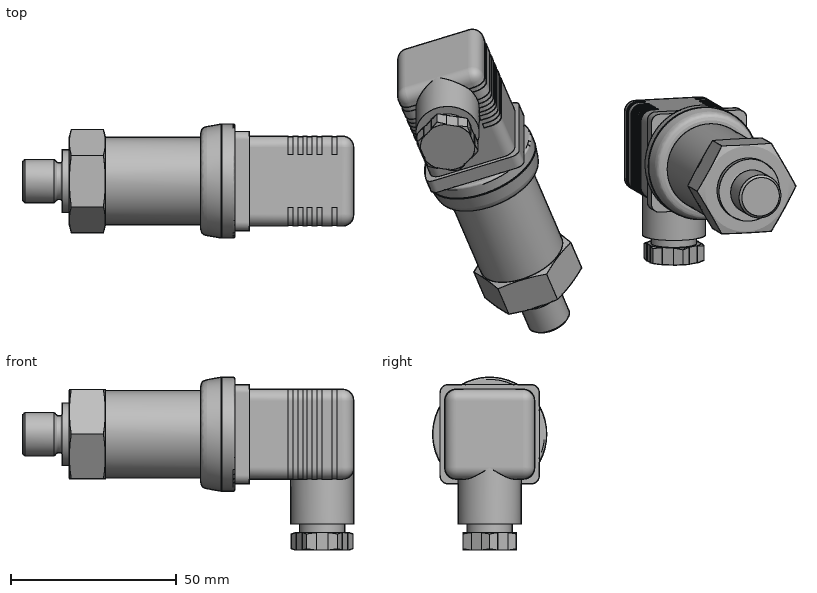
import cadquery as cq
import math


THREAD_D = 13.16
THREAD_END_X = 9.5
THREAD_CHAMFER = 0.68
RUNOUT_ANGLE = 45.0
RELIEF_D = 11.2
RELIEF_FILLET = 0.6

COLLAR_D = 19.0
COLLAR_START_X = 11.9

HEX_START_X = 14.0
HEX_END_X = 25.0
HEX_FLATS = 27.0
HEX_FACE_D = 26.3
HEX_CHAMFER_ANGLE = 15.0

BODY_D = 26.5

CAP_D = 34.5
CAP_START_X = 53.6
CAP_FRONT_FACE_D = 28.4
CAP_FRONT_CONE_D = 30.3
CAP_FRONT_CONE_LENGTH = 0.25
CAP_SHOULDER_X = 55.7
CAP_SHOULDER_D = 33.0
CAP_TAPER_END_X = 59.9
CAP_SEAM_WIDTH = 0.3
CAP_SEAM_DEPTH = 0.1
CAP_END_X = 64.1
CAP_RIM_FILLET = 0.7

FLANGE_SIDE = 30.0
FLANGE_END_X = 68.4
FLANGE_CORNER_R = 2.5

HOUSING_SIDE = 27.2
HOUSING_END_X = 99.9
HOUSING_FILLET = 3.45

GROOVE_STARTS_X = (80.1, 83.05, 85.8, 88.8, 93.35)
GROOVE_WIDTH = 1.5
GROOVE_DEPTH = 0.15
GROOVE_END_Y = 8.0

GLAND_D = 19.1
GLAND_X = HOUSING_END_X - GLAND_D / 2
GLAND_TOP_Z = -(HOUSING_SIDE / 2 - HOUSING_FILLET)
GLAND_BOTTOM_Z = -27.1
NECK_D = 13.76

NUT_TOP_Z = -29.7
NUT_BOTTOM_Z = -34.95
NUT_FLATS = 16.15
NUT_FACE_D = 16.4
NUT_CHAMFER_ANGLE = 20.0
NUT_RECESS_WIDTH = 3.5
NUT_RECESS_DEPTH = 0.2

SIDES_OF_HEX = 6


def corner_distance(flats):
    """Distance across the corners of a hexagon with the given distance across flats."""
    return flats / math.cos(math.pi / SIDES_OF_HEX)


def x_cylinder(diameter, start_x, end_x):
    return cq.Workplane("YZ").workplane(offset=start_x).circle(diameter / 2).extrude(end_x - start_x)


def arc_on_circle(center, radius, angle):
    """Point on a circle, with the angle in degrees."""
    a = math.radians(angle)
    return center[0] + radius * math.cos(a), center[1] + radius * math.sin(a)


def make_stud():
    thread_r = THREAD_D / 2
    relief_r = RELIEF_D / 2
    fillet_center_r = relief_r + RELIEF_FILLET
    runout = math.radians(RUNOUT_ANGLE)
    runout_end_r = fillet_center_r - RELIEF_FILLET * math.cos(runout)
    runout_end_x = THREAD_END_X + (thread_r - runout_end_r) / math.tan(runout)
    front_center = (runout_end_x + RELIEF_FILLET * math.sin(runout), fillet_center_r)
    rear_center = (COLLAR_START_X - RELIEF_FILLET, fillet_center_r)
    profile = (
        cq.Workplane("XY")
        .lineTo(0, thread_r - THREAD_CHAMFER)
        .lineTo(THREAD_CHAMFER, thread_r)
        .lineTo(THREAD_END_X, thread_r)
        .lineTo(runout_end_x, runout_end_r)
        .threePointArc(
            arc_on_circle(front_center, RELIEF_FILLET, -90 - RUNOUT_ANGLE / 2),
            (front_center[0], relief_r),
        )
        .lineTo(rear_center[0], relief_r)
        .threePointArc(arc_on_circle(rear_center, RELIEF_FILLET, -45), (COLLAR_START_X, fillet_center_r))
        .lineTo(COLLAR_START_X, 0)
        .close()
    )
    return profile.revolve(360, (0, 0, 0), (1, 0, 0))


def make_wrench_hex():
    """Hexagon with corners on +-Y, both ends turned to a shallow cone."""
    length = HEX_END_X - HEX_START_X
    corner_r = corner_distance(HEX_FLATS) / 2
    face_r = HEX_FACE_D / 2
    cone_length = (corner_r - face_r) * math.tan(math.radians(HEX_CHAMFER_ANGLE))
    prism = (
        cq.Workplane("YZ")
        .workplane(offset=HEX_START_X)
        .polygon(SIDES_OF_HEX, 2 * corner_r)
        .extrude(length)
    )
    turned = (
        cq.Workplane("XY")
        .moveTo(HEX_START_X, 0)
        .lineTo(HEX_START_X, face_r)
        .lineTo(HEX_START_X + cone_length, corner_r)
        .lineTo(HEX_END_X - cone_length, corner_r)
        .lineTo(HEX_END_X, face_r)
        .lineTo(HEX_END_X, 0)
        .close()
        .revolve(360, (0, 0, 0), (1, 0, 0))
    )
    return prism.intersect(turned)


def make_cap():
    rim_r = CAP_D / 2
    seam_r = rim_r - CAP_SEAM_DEPTH
    seam_end_x = CAP_TAPER_END_X + CAP_SEAM_WIDTH
    shoulder = (CAP_SHOULDER_X, CAP_SHOULDER_D / 2)
    taper_run = CAP_TAPER_END_X - CAP_SHOULDER_X
    taper_rise = rim_r - shoulder[1]
    cone_end = (CAP_START_X + CAP_FRONT_CONE_LENGTH, CAP_FRONT_CONE_D / 2)
    cone_rise = (CAP_FRONT_CONE_D - CAP_FRONT_FACE_D) / 2
    profile = (
        cq.Workplane("XY")
        .moveTo(CAP_START_X, 0)
        .lineTo(CAP_START_X, CAP_FRONT_FACE_D / 2)
        .lineTo(*cone_end)
        .spline(
            [shoulder],
            tangents=[(CAP_FRONT_CONE_LENGTH, cone_rise), (taper_run, taper_rise)],
            includeCurrent=True,
        )
        .lineTo(CAP_TAPER_END_X, rim_r)
        .lineTo(CAP_TAPER_END_X, seam_r)
        .lineTo(seam_end_x, seam_r)
        .lineTo(seam_end_x, rim_r)
        .lineTo(CAP_END_X, rim_r)
        .lineTo(CAP_END_X, 0)
        .close()
    )
    cap = profile.revolve(360, (0, 0, 0), (1, 0, 0))
    return cap.faces(">X").edges().fillet(CAP_RIM_FILLET)


def make_flange():
    flange = (
        cq.Workplane("YZ")
        .workplane(offset=CAP_END_X)
        .rect(FLANGE_SIDE, FLANGE_SIDE)
        .extrude(FLANGE_END_X - CAP_END_X)
    )
    return flange.edges("|X").fillet(FLANGE_CORNER_R)


def make_housing_block(inset):
    """Rounded housing block with its four long sides and rear face moved inwards by inset."""
    side = HOUSING_SIDE - 2 * inset
    block = (
        cq.Workplane("YZ")
        .workplane(offset=FLANGE_END_X)
        .rect(side, side)
        .extrude(HOUSING_END_X - inset - FLANGE_END_X)
    )
    return block.edges("|X or >X").fillet(HOUSING_FILLET - inset)


def make_housing():
    housing = make_housing_block(0)
    core = make_housing_block(GROOVE_DEPTH)
    band_height = 2 * HOUSING_SIDE
    band_depth = HOUSING_SIDE
    for start_x in GROOVE_STARTS_X:
        for side in (-1, 1):
            band = cq.Workplane("XY").box(GROOVE_WIDTH, band_depth, band_height).translate(
                (start_x + GROOVE_WIDTH / 2, side * (GROOVE_END_Y + band_depth / 2), 0)
            )
            housing = housing.cut(band.cut(core))
    return housing


def gland_cylinder(diameter, top_z, bottom_z):
    return (
        cq.Workplane("XY")
        .workplane(offset=bottom_z)
        .center(GLAND_X, 0)
        .circle(diameter / 2)
        .extrude(top_z - bottom_z)
    )


def make_nut():
    """Hexagon nut with corners on +-X, coned ends and a shallow recess in each flat."""
    height = NUT_TOP_Z - NUT_BOTTOM_Z
    corner_r = corner_distance(NUT_FLATS) / 2
    face_r = NUT_FACE_D / 2
    cone_height = (corner_r - face_r) * math.tan(math.radians(NUT_CHAMFER_ANGLE))
    prism = cq.Workplane("XY").polygon(SIDES_OF_HEX, 2 * corner_r).extrude(height)
    turned = (
        cq.Workplane("XZ")
        .lineTo(face_r, 0)
        .lineTo(corner_r, cone_height)
        .lineTo(corner_r, height - cone_height)
        .lineTo(face_r, height)
        .lineTo(0, height)
        .close()
        .revolve(360, (0, 0, 0), (0, 1, 0))
    )
    nut = prism.intersect(turned)
    recess = cq.Workplane("XY").box(NUT_RECESS_WIDTH, 2 * NUT_RECESS_DEPTH, 2 * height)
    recess = recess.translate((0, NUT_FLATS / 2, 0))
    for index in range(SIDES_OF_HEX):
        nut = nut.cut(recess.rotate((0, 0, 0), (0, 0, 1), index * 360 / SIDES_OF_HEX))
    return nut.translate((GLAND_X, 0, NUT_BOTTOM_Z))


result = (
    make_stud()
    .union(x_cylinder(COLLAR_D, COLLAR_START_X, HEX_START_X))
    .union(make_wrench_hex())
    .union(x_cylinder(BODY_D, HEX_END_X, CAP_START_X))
    .union(make_cap())
    .union(make_flange())
    .union(make_housing())
    .union(gland_cylinder(GLAND_D, GLAND_TOP_Z, GLAND_BOTTOM_Z))
    .union(gland_cylinder(NECK_D, GLAND_BOTTOM_Z, NUT_TOP_Z))
    .union(make_nut())
)